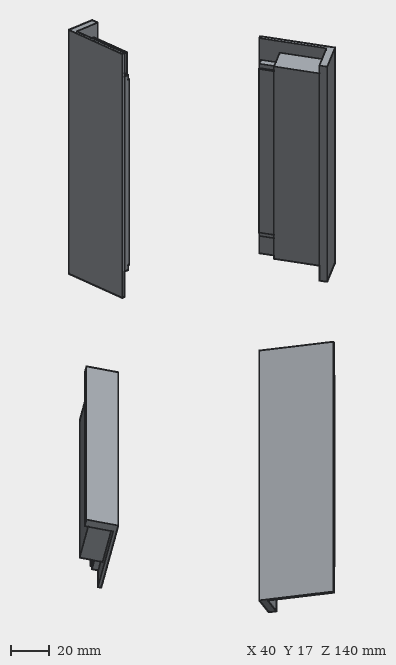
import cadquery as cq

width = 40.0
depth = 17.0
height = 140.0
front_thickness = 1.8
side_thickness = 4.2

block_right = 29.1
block_back = 14.0
block_inset = 7.4

step_right = 39.2
step_back = 5.2
step_inset = 14.0
lip_back = 6.0
lip_inset = 16.8


def upright_box(left, right, front, back, inset=0.0):
    """Box given by its plan limits, shortened by inset at both ends."""
    box_height = height - 2 * inset
    return cq.Workplane("XY").box(right - left, back - front, box_height, centered=False).translate(
        (left, front, inset)
    )


front_wall = upright_box(0, width, 0, front_thickness)
side_wall = upright_box(0, side_thickness, 0, depth)

block = upright_box(side_thickness, block_right, front_thickness, block_back, block_inset)
step = upright_box(block_right, step_right, front_thickness, step_back, step_inset)
lip = upright_box(block_right, step_right, step_back, lip_back, lip_inset)

result = front_wall.union(side_wall).union(block).union(step).union(lip)